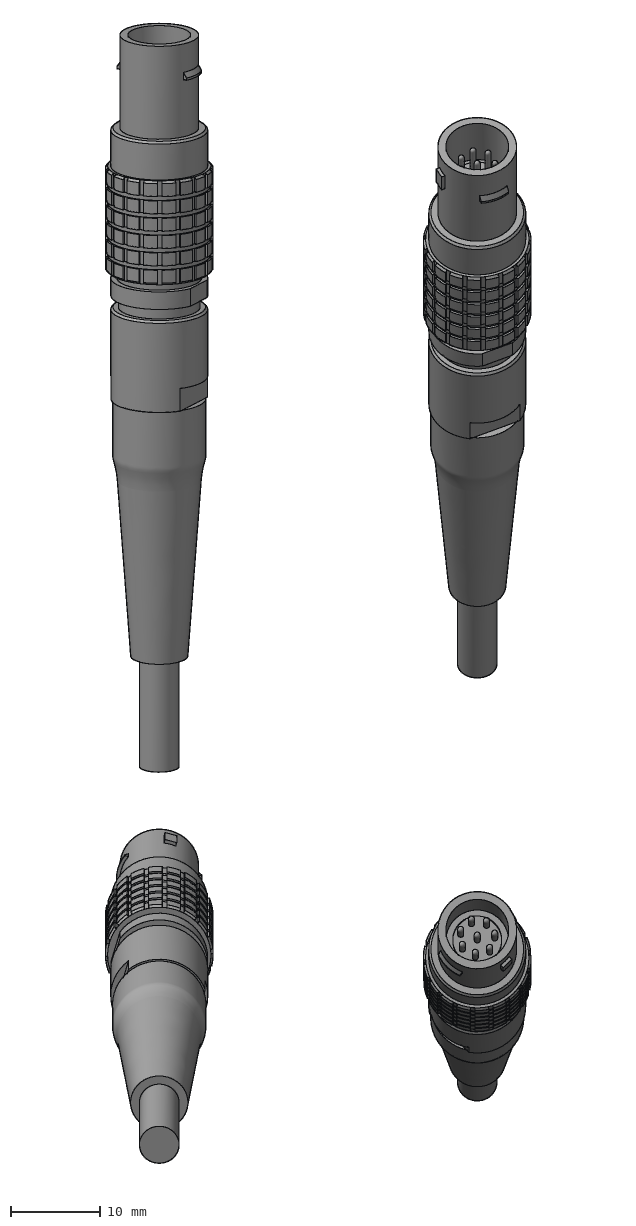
import cadquery as cq
import math


BOOT_BOTTOM = 12.9
TAPER_TOP = 33.5
FLARE_TOP = 35.85
BOOT_ROUND_TOP = 36.6
BODY_BOTTOM = 43.0
BODY_TOP = 53.7
NUT_BOTTOM = 55.1
NUT_TOP = 57.15
GRIP_BOTTOM = 58.1
GRIP_TOP = 70.25
COLLAR_TOP = 74.7
LENGTH = 85.6

CABLE_DIA = 4.45
BOOT_TIP_DIA = 6.4
TAPER_TOP_DIA = 9.4
FLARE_TOP_DIA = 10.3
BOOT_DIA = 10.4
BODY_DIA = 10.9
LOWER_NECK_DIA = 9.15
UPPER_NECK_DIA = 9.5
GRIP_DIA = 12.1
SHELL_DIA = 8.8
EDGE_CHAMFER = 0.25

BODY_FLATS_ACROSS = 8.9
BODY_FLATS_TOP = 45.7
NUT_FLATS_ACROSS = 10.2

GRIP_ROWS = 6
GRIP_COLUMNS = 18
GROOVE_WIDTH = 0.5
GROOVE_DEPTH = 0.25

SOCKET_DIA = 7.0
SOCKET_DEPTH = 6.0
INSERT_DIA = 5.5
INSERT_HEIGHT = 0.4
PIN_DIA = 0.68
PIN_TIP_ROUND = 0.3
PIN_CIRCLE_RADIUS = 2.0
PIN_RECESS = 2.5
OUTER_PINS = 7

LATCH_WIDTH = 3.4
LATCH_REACH = 4.8
LATCH_BOTTOM = 81.4
LATCH_RAMP_BOTTOM = 81.6
LATCH_TOP = 82.2
KEY_WIDTH = 1.4
KEY_REACH = 4.8
KEY_TOP = 83.5
EMBED = 0.4


def cylinder(diameter, bottom, top):
    return cq.Workplane("XY").workplane(offset=bottom).circle(diameter / 2).extrude(top - bottom)


def make_boot():
    """Tapered boot whose top flares out and rounds into a plain cylinder."""
    return (
        cq.Workplane("XZ")
        .moveTo(0, BOOT_BOTTOM)
        .lineTo(BOOT_TIP_DIA / 2, BOOT_BOTTOM)
        .lineTo(TAPER_TOP_DIA / 2, TAPER_TOP)
        .tangentArcPoint((FLARE_TOP_DIA / 2, FLARE_TOP), relative=False)
        .tangentArcPoint((BOOT_DIA / 2, BOOT_ROUND_TOP), relative=False)
        .lineTo(BOOT_DIA / 2, BODY_BOTTOM)
        .lineTo(0, BODY_BOTTOM)
        .close()
        .revolve(360, (0, 0, 0), (0, 1, 0))
    )


def flat_sided(solid, across, bottom, top):
    """Cut two flats, at +X and -X, between two heights."""
    depth = (BODY_DIA - across) / 2
    for side in (-1, 1):
        cutter = cq.Workplane("XY").box(depth, BODY_DIA, top - bottom)
        solid = solid.cut(cutter.translate((side * (across + depth) / 2, 0, (bottom + top) / 2)))
    return solid


def make_body():
    body = cylinder(BODY_DIA, BODY_BOTTOM, BODY_TOP).faces(">Z").chamfer(EDGE_CHAMFER)
    return flat_sided(body, BODY_FLATS_ACROSS, BODY_BOTTOM, BODY_FLATS_TOP)


def make_nut():
    return flat_sided(cylinder(BODY_DIA, NUT_BOTTOM, NUT_TOP), NUT_FLATS_ACROSS, NUT_BOTTOM, NUT_TOP)


def make_grip():
    """Sleeve knurled into teeth by ring grooves and lengthwise slots."""
    height = GRIP_TOP - GRIP_BOTTOM
    floor_dia = GRIP_DIA - 2 * GROOVE_DEPTH
    grip = cylinder(GRIP_DIA, GRIP_BOTTOM, GRIP_TOP).faces("<Z or >Z").chamfer(EDGE_CHAMFER)
    row_pitch = height / GRIP_ROWS
    for row in range(1, GRIP_ROWS):
        groove_bottom = GRIP_BOTTOM + row * row_pitch - GROOVE_WIDTH / 2
        groove_top = groove_bottom + GROOVE_WIDTH
        ring = cylinder(GRIP_DIA, groove_bottom, groove_top)
        ring = ring.cut(cylinder(floor_dia, groove_bottom, groove_top))
        grip = grip.cut(ring)
    slots = (
        cq.Workplane("XY")
        .workplane(offset=GRIP_BOTTOM)
        .polarArray(GRIP_DIA / 2, 0, 360, GRIP_COLUMNS)
        .rect(2 * GROOVE_DEPTH, GROOVE_WIDTH)
        .extrude(height)
    )
    return grip.cut(slots)


def make_latches():
    """Ramped latches at +X and -X, cut from a ring so that they follow the shell."""
    root = SHELL_DIA / 2 - EMBED
    profile = [
        (root, LATCH_BOTTOM),
        (LATCH_REACH, LATCH_BOTTOM),
        (LATCH_REACH, LATCH_RAMP_BOTTOM),
        (SHELL_DIA / 2, LATCH_TOP),
        (root, LATCH_TOP),
    ]
    ring = cq.Workplane("XZ").polyline(profile).close().revolve(360, (0, 0, 0), (0, 1, 0))
    strip = cq.Workplane("XY").workplane(offset=LATCH_BOTTOM)
    strip = strip.rect(GRIP_DIA, LATCH_WIDTH).extrude(LATCH_TOP - LATCH_BOTTOM)
    return ring.intersect(strip)


def make_key():
    """Straight orientation key on the +Y side of the shell."""
    root = SHELL_DIA / 2 - EMBED
    return (
        cq.Workplane("XY")
        .workplane(offset=LATCH_BOTTOM)
        .center(0, (root + KEY_REACH) / 2)
        .rect(KEY_WIDTH, KEY_REACH - root)
        .extrude(KEY_TOP - LATCH_BOTTOM)
    )


def make_shell():
    """Tubular mating end with latches, key, insulator and contact pins."""
    socket_floor = LENGTH - SOCKET_DEPTH
    shell = cylinder(SHELL_DIA, COLLAR_TOP, LENGTH)
    shell = shell.union(make_latches()).union(make_key())
    shell = shell.cut(cylinder(SOCKET_DIA, socket_floor, LENGTH))
    shell = shell.union(cylinder(INSERT_DIA, socket_floor, socket_floor + INSERT_HEIGHT))
    pin = cylinder(PIN_DIA, socket_floor, LENGTH - PIN_RECESS)
    pin = pin.faces(">Z").fillet(PIN_TIP_ROUND)
    shell = shell.union(pin)
    for index in range(OUTER_PINS):
        angle = math.radians(90 + index * 360 / OUTER_PINS)
        place = (PIN_CIRCLE_RADIUS * math.cos(angle), PIN_CIRCLE_RADIUS * math.sin(angle), 0)
        shell = shell.union(pin.translate(place))
    return shell


result = (
    cylinder(CABLE_DIA, 0, BOOT_BOTTOM)
    .union(make_boot())
    .union(make_body())
    .union(cylinder(LOWER_NECK_DIA, BODY_TOP, NUT_BOTTOM))
    .union(make_nut())
    .union(cylinder(UPPER_NECK_DIA, NUT_TOP, GRIP_BOTTOM))
    .union(make_grip())
    .union(cylinder(BODY_DIA, GRIP_TOP, COLLAR_TOP).faces(">Z").chamfer(EDGE_CHAMFER))
    .union(make_shell())
)